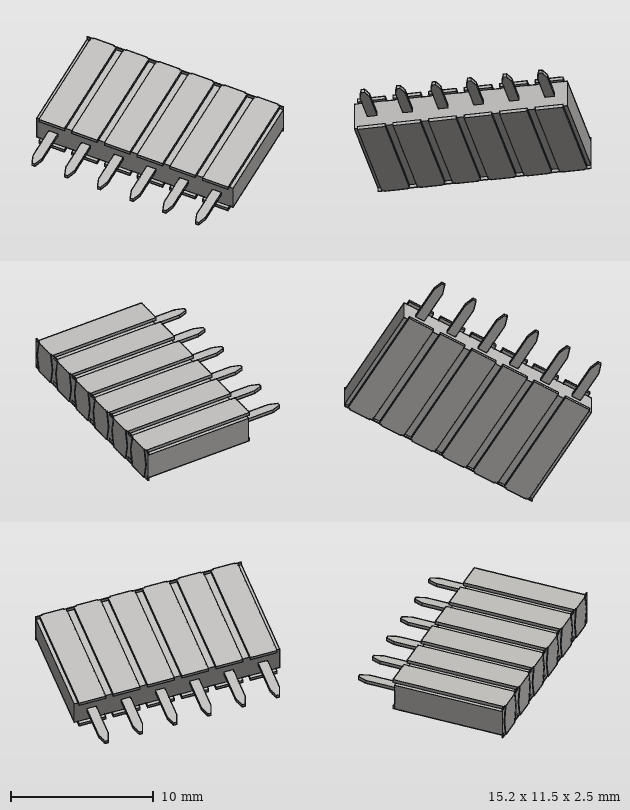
import cadquery as cq

contact_count = 6
length = 15.24
height = 2.5
total_depth = 11.5
pitch = length / contact_count

pad_width = 1.98
pad_height = 0.25
pad_overhang = 0.25
pad_depth = 8.52

wall_thickness = 0.06
panel_rise = 0.06
panel_width = 2.07
panel_end_width = 1.62

pin_width = 0.7
pin_thickness = 0.26
taper_length = 0.67
pin_offset_x = 0.02
tip_width = 0.25

wall_rear_y = -panel_rise
wall_front_y = wall_rear_y - wall_thickness
pad_front_y = -pad_depth
core_front_y = pad_front_y + pad_overhang
pin_tip_y = -total_depth

core_height = height - 2 * pad_height
contact_xs = [(i - (contact_count - 1) / 2) * pitch for i in range(contact_count)]


def block(width, front_y, rear_y, z_size, x=0.0, z=0.0):
    """Box centred on x and z that spans front_y to rear_y."""
    center = (x, (front_y + rear_y) / 2, z)
    return cq.Workplane("XY").box(width, rear_y - front_y, z_size).translate(center)


def rear_panel(x):
    """Raised panel on the rear wall: a full-height hexagon, widest at mid-height."""
    half_width = panel_width / 2
    half_end = panel_end_width / 2
    half_height = height / 2
    outline = [
        (x - half_width, 0),
        (x - half_end, half_height),
        (x + half_end, half_height),
        (x + half_width, 0),
        (x + half_end, -half_height),
        (x - half_end, -half_height),
    ]
    return cq.Workplane("XZ").polyline(outline).close().extrude(panel_rise)


def make_housing():
    """Core block with its rear wall, panels and pads, all one solid."""
    housing = block(length, core_front_y, wall_rear_y, core_height)
    housing = housing.union(block(length, wall_front_y, wall_rear_y, height))
    pad_z = (height - pad_height) / 2
    for x in contact_xs:
        housing = housing.union(rear_panel(x))
        for side in (-1, 1):
            pad = block(pad_width, pad_front_y, wall_rear_y, pad_height, x, side * pad_z)
            housing = housing.union(pad)
    return housing


def make_pin(x):
    """Blade that stands on the front face of the core and tapers to a blunt tip."""
    half_width = pin_width / 2
    half_tip = tip_width / 2
    taper_start_y = pin_tip_y + taper_length
    outline = [
        (x - half_width, core_front_y),
        (x - half_width, taper_start_y),
        (x - half_tip, pin_tip_y),
        (x + half_tip, pin_tip_y),
        (x + half_width, taper_start_y),
        (x + half_width, core_front_y),
    ]
    return cq.Workplane("XY").polyline(outline).close().extrude(pin_thickness / 2, both=True)


housing = make_housing()
pins = [make_pin(x + pin_offset_x) for x in contact_xs]

result = cq.Compound.makeCompound([housing.val(), *[pin.val() for pin in pins]])